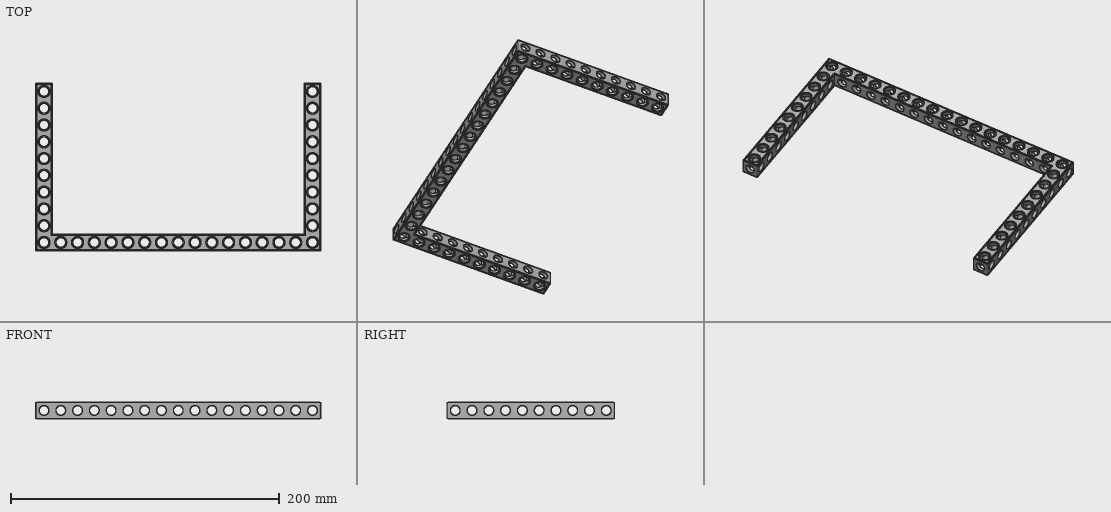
import cadquery as cq

LENGTH = 212.5
BASE_HOLES = 17
ARM_HOLES = 10
BORE_DIAMETER = 7.0
RELIEF_DIAMETER = 7.5
MOUTH_DIAMETER = 9.1
RIM_SETBACK = 1.0
STEP_HEIGHT = 0.2
CORNER_RADIUS = 0.6

PITCH = LENGTH / BASE_HOLES
DEPTH = ARM_HOLES * PITCH
MIDDLE = PITCH / 2


def station(index):
    """Distance from the outer corner to the centre of a hole station."""
    return index * PITCH + MIDDLE


BASE_STATIONS = [station(i) for i in range(BASE_HOLES)]
ARM_STATIONS = [station(i) for i in range(ARM_HOLES)]


def slab(setback, margin):
    """U-shaped slab, drawn in from the walls by setback and from top and bottom by margin."""
    near = setback
    far = PITCH - setback
    outline = [
        (near, near),
        (LENGTH - near, near),
        (LENGTH - near, DEPTH - near),
        (LENGTH - far, DEPTH - near),
        (LENGTH - far, far),
        (far, far),
        (far, DEPTH - near),
        (near, DEPTH - near),
    ]
    plate = cq.Workplane("XY", origin=(0, 0, margin)).polyline(outline).close().extrude(PITCH - 2 * margin)
    inside_corners = cq.selectors.BoxSelector((MIDDLE, MIDDLE, 0), (LENGTH - MIDDLE, PITCH + MIDDLE, PITCH))
    convex_corners = cq.selectors.ParallelDirSelector(cq.Vector(0, 0, 1)) - inside_corners
    return plate.edges(convex_corners).fillet(CORNER_RADIUS)


def cylinders(centres, diameter, plane, start, end):
    """Parallel cylinders square to a plane, spanning two offsets along its normal."""
    workplane = cq.Workplane(plane).workplane(offset=start)
    return workplane.pushPoints(centres).circle(diameter / 2).extrude(end - start)


def cut_mouths(body, centres, diameter, depth, plane, near_wall, far_wall):
    """Counterbore holes from both walls that they open through."""
    body = body.cut(cylinders(centres, diameter, plane, near_wall, near_wall + depth))
    return body.cut(cylinders(centres, diameter, plane, far_wall - depth, far_wall))


def cut_upright_holes(body):
    """Vertical holes at every station, with a two-step mouth at both ends."""
    centres = [(x, MIDDLE) for x in BASE_STATIONS]
    for x in (BASE_STATIONS[0], BASE_STATIONS[-1]):
        centres += [(x, y) for y in ARM_STATIONS[1:]]
    body = body.cut(cylinders(centres, BORE_DIAMETER, "XY", 0, PITCH))
    body = cut_mouths(body, centres, RELIEF_DIAMETER, 2 * STEP_HEIGHT, "XY", 0, PITCH)
    return cut_mouths(body, centres, MOUTH_DIAMETER, STEP_HEIGHT, "XY", 0, PITCH)


def cut_holes_along_x(body):
    """Holes across both arms; the corner one runs lengthwise through the base bar."""
    centres = [(y, MIDDLE) for y in ARM_STATIONS]
    body = body.cut(cylinders(centres, BORE_DIAMETER, "YZ", 0, LENGTH))
    body = cut_mouths(body, centres, RELIEF_DIAMETER, STEP_HEIGHT, "YZ", 0, LENGTH)
    inner_wall = cylinders(centres[1:], RELIEF_DIAMETER, "YZ", PITCH - STEP_HEIGHT, PITCH)
    return body.cut(inner_wall).cut(inner_wall.mirror("YZ", (LENGTH / 2, 0, 0)))


def cut_holes_along_y(body):
    """Holes across the base bar; the corner ones run lengthwise through the arms."""
    centres = [(MIDDLE, x) for x in BASE_STATIONS]
    corner_centres = [centres[0], centres[-1]]
    body = body.cut(cylinders(centres, BORE_DIAMETER, "ZX", 0, DEPTH))
    body = cut_mouths(body, corner_centres, RELIEF_DIAMETER, STEP_HEIGHT, "ZX", 0, DEPTH)
    return cut_mouths(body, centres[1:-1], RELIEF_DIAMETER, STEP_HEIGHT, "ZX", 0, PITCH)


frame = slab(0, 2 * STEP_HEIGHT).union(slab(RIM_SETBACK / 2, STEP_HEIGHT)).union(slab(RIM_SETBACK, 0))

result = cut_holes_along_y(cut_holes_along_x(cut_upright_holes(frame))).solids()